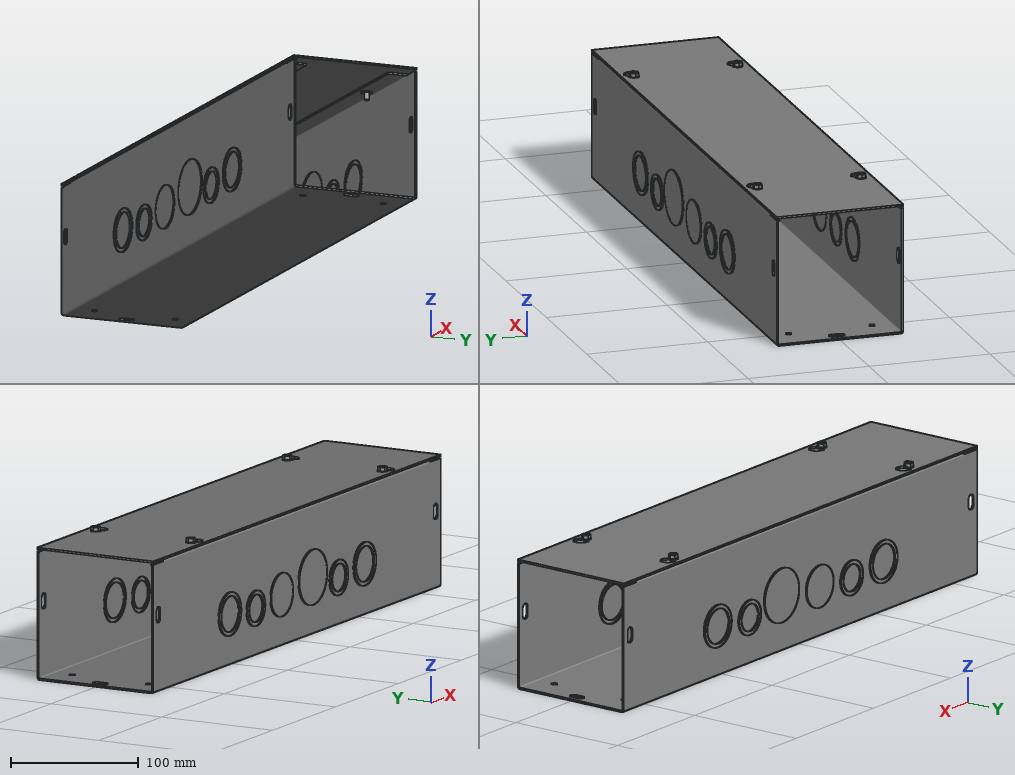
import cadquery as cq

length = 457.2
width = 104.775
trough_height = width
sheet = 1.52
inside_bend_radius = 0.9
outside_bend_radius = inside_bend_radius + sheet
flange_reach = 17.46
flange_end_gap = 15.875

cover_end_clearance = 0.05
cover_top = trough_height + sheet

overall_height = 109.79
screw_spacing_x = 304.8
screw_inset_y = 9.525
screw_head_flats = 6.35
screw_flange_diameter = 7.94
screw_flange_thickness = 0.5
screw_dimple_diameter = 4.59
screw_dimple_depth = 0.5
screw_shaft_diameter = 4.09
screw_length = 9.525

collar_diameter = 9.0
collar_drop = 0.8

keyhole_diameter = 11.9
keyhole_neck_width = 4.59
keyhole_offset = 6.8

slot_width = 6.35
slot_length = 12.7
slot_inset = 7.94
side_slot_z = 62.0

floor_hole_diameter = 4.59
floor_hole_inset_x = 24.0
floor_hole_inset_y = 17.9

knockout_step = 0.7875
knockout_bottom_z = 23.8125
knockout_gap = 9.525
small_knockout, small_center = 28.57, 22.23
medium_knockout, medium_center = 34.92, 28.57
large_knockout = 44.45
inner_knockout_x = 24.7
middle_knockout_x = inner_knockout_x + (medium_knockout + small_knockout) / 2 + knockout_gap
outer_knockout_x = middle_knockout_x + (small_knockout + medium_knockout) / 2 + knockout_gap
knockouts = [
    (-outer_knockout_x, medium_knockout, medium_center),
    (-middle_knockout_x, small_knockout, small_center),
    (-inner_knockout_x, medium_knockout, 0),
    (inner_knockout_x, large_knockout, 0),
    (middle_knockout_x, small_knockout, small_center),
    (outer_knockout_x, medium_knockout, medium_center),
]

screw_x = screw_spacing_x / 2
screw_y = width / 2 - screw_inset_y
screw_places = [(x, y) for x in (-screw_x, screw_x) for y in (-screw_y, screw_y)]


def block(size_x, size_y, size_z, bottom_z, center_x=0):
    """A box centered on Y = 0 that stands on the height bottom_z."""
    return (
        cq.Workplane("XY", origin=(center_x, 0, bottom_z))
        .box(size_x, size_y, size_z, centered=(True, True, False))
    )


def disc(x, y, bottom_z, diameter, thickness):
    """An upright cylinder; a negative thickness goes down from bottom_z."""
    return cq.Workplane("XY", origin=(x, y, bottom_z)).circle(diameter / 2).extrude(thickness)


def make_folded_sheet():
    outer = block(length, width, trough_height, 0).edges("|X").fillet(outside_bend_radius)
    inner = (
        block(length, width - 2 * sheet, trough_height - 2 * sheet, sheet)
        .edges("|X").fillet(inside_bend_radius)
    )
    mouth = block(length, width - 2 * flange_reach, trough_height, trough_height / 2)
    trough = outer.cut(inner).cut(mouth)
    for side in (-1, 1):
        relief_x = side * (length - flange_end_gap) / 2
        relief = block(flange_end_gap, width, sheet, trough_height - sheet, relief_x)
        trough = trough.cut(relief)
    return trough


def add_screw_collars(trough):
    flange_underside = trough_height - sheet
    for x, y in screw_places:
        trough = trough.union(disc(x, y, flange_underside, collar_diameter, -collar_drop))
    for x, y in screw_places:
        trough = trough.cut(disc(x, y, trough_height, screw_shaft_diameter, -sheet - collar_drop))
    return trough


def cut_mounting_holes(trough):
    slot_x = length / 2 - slot_inset
    side_slots = (
        cq.Workplane("XZ").pushPoints([(-slot_x, side_slot_z), (slot_x, side_slot_z)])
        .slot2D(slot_length, slot_width, 90).extrude(width, both=True)
    )
    floor_slots = (
        cq.Workplane("XY").pushPoints([(-slot_x, 0), (slot_x, 0)])
        .slot2D(slot_length, slot_width, 90).extrude(sheet)
    )
    floor_holes = (
        cq.Workplane("XY")
        .rect(length - 2 * floor_hole_inset_x, width - 2 * floor_hole_inset_y, forConstruction=True)
        .vertices().circle(floor_hole_diameter / 2).extrude(sheet)
    )
    return trough.cut(side_slots).cut(floor_slots).cut(floor_holes)


def knockout_layer(x, y, diameter, center_diameter, thickness):
    """A disc or ring with its axis along Y that grows from y by thickness."""
    layer = cq.Workplane("XZ", origin=(x, y, knockout_bottom_z + diameter / 2)).circle(diameter / 2)
    if center_diameter:
        layer = layer.circle(center_diameter / 2)
    return layer.extrude(-thickness)


def press_knockouts(trough):
    for x, diameter, center_diameter in knockouts:
        for side in (-1, 1):
            outer_face = side * width / 2
            inner_face = outer_face - side * sheet
            press = side * knockout_step
            trough = trough.cut(knockout_layer(x, inner_face, diameter, center_diameter, press))
            trough = trough.union(knockout_layer(x, outer_face, diameter, center_diameter, press))
    return trough


def make_trough():
    trough = make_folded_sheet()
    trough = add_screw_collars(trough)
    trough = cut_mounting_holes(trough)
    return press_knockouts(trough)


def make_cover():
    cover = block(length - 2 * cover_end_clearance, width, sheet, trough_height)
    for x, y in screw_places:
        neck_end = disc(x, y, trough_height, keyhole_neck_width, sheet)
        neck = (
            cq.Workplane("XY", origin=(x + keyhole_offset / 2, y, trough_height))
            .rect(keyhole_offset, keyhole_neck_width).extrude(sheet)
        )
        entry = disc(x + keyhole_offset, y, trough_height, keyhole_diameter, sheet)
        cover = cover.cut(neck_end).cut(neck).cut(entry)
    return cover


def make_screw(x, y):
    head = (
        cq.Workplane("XY", origin=(x, y, cover_top)).transformed(rotate=(0, 0, 30))
        .polygon(6, screw_head_flats, circumscribed=True).extrude(overall_height - cover_top)
    )
    flange = disc(x, y, cover_top, screw_flange_diameter, screw_flange_thickness)
    shaft = disc(x, y, cover_top, screw_shaft_diameter, -screw_length)
    dimple = disc(x, y, overall_height, screw_dimple_diameter, -screw_dimple_depth)
    return head.union(flange).union(shaft).cut(dimple)


trough = make_trough()
cover = make_cover()
screws = [make_screw(x, y) for x, y in screw_places]

result = cq.Compound.makeCompound([trough.val(), cover.val(), *[screw.val() for screw in screws]])